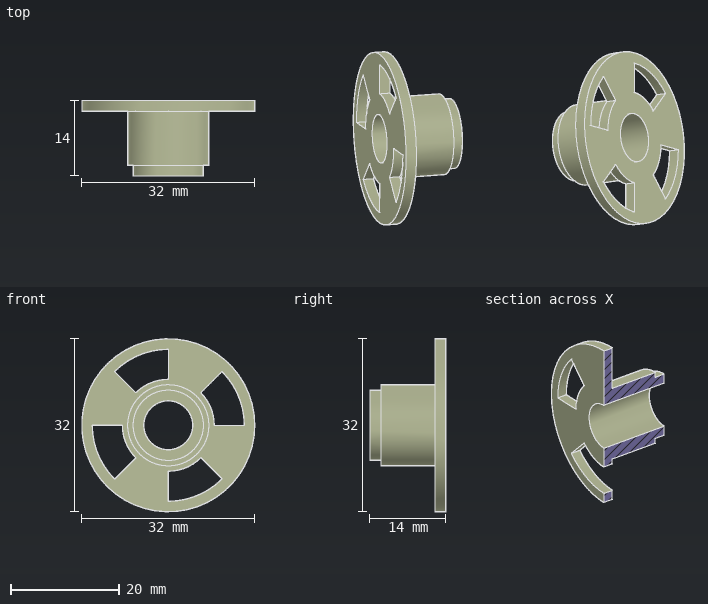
import cadquery as cq

flange_diameter = 32.0
overall_length = 14.0
flange_thickness = 2.0
hub_diameter = 15.0
tip_diameter = 13.0
tip_length = 2.0
bore_diameter = 9.0

window_count = 4
window_inner_radius = 8.5
window_outer_radius = 14.0
window_angle = 45.0

flange_start = overall_length - flange_thickness
hub_length = flange_start - tip_length
window_pitch = 360.0 / window_count


def cylinder(diameter, start, length):
    """Cylinder about the Y axis, running from start toward +Y."""
    disc = cq.Workplane("XZ", origin=(0, start, 0)).circle(diameter / 2)
    return disc.extrude(-length)


def window(start_angle):
    """Ring sector cutter, turned counterclockwise from +X as seen from -Y."""
    ring_section = (
        cq.Workplane("XY")
        .moveTo(window_inner_radius, flange_start)
        .lineTo(window_outer_radius, flange_start)
        .lineTo(window_outer_radius, overall_length)
        .lineTo(window_inner_radius, overall_length)
        .close()
    )
    sector = ring_section.revolve(window_angle, (0, 0, 0), (0, -1, 0))
    return sector.rotate((0, 0, 0), (0, -1, 0), start_angle)


body = cylinder(tip_diameter, 0, tip_length)
body = body.union(cylinder(hub_diameter, tip_length, hub_length))
body = body.union(cylinder(flange_diameter, flange_start, flange_thickness))

body = body.cut(cylinder(bore_diameter, 0, overall_length))

for index in range(window_count):
    body = body.cut(window(index * window_pitch))

result = body